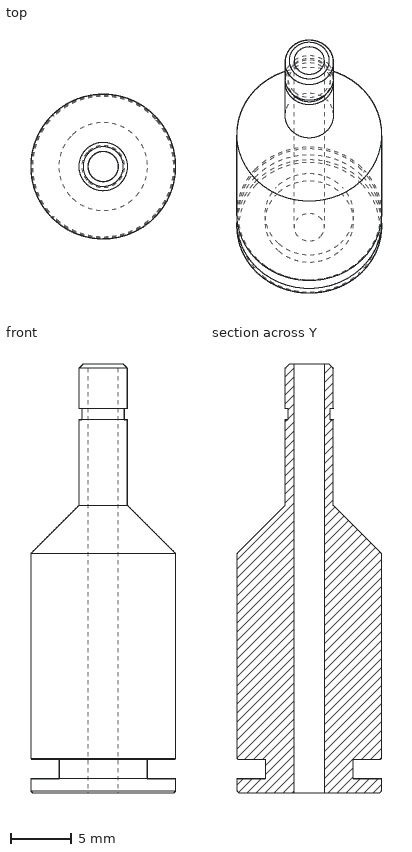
import cadquery as cq

total_height = 35.5
body_diameter = 12.0

collar_thickness = 1.2
collar_chamfer = 0.18
neck_diameter = 7.3
body_bottom = 2.77
body_chamfer = 0.1

cone_bottom = 19.8

stem_diameter = 4.0
groove_diameter = 3.5
groove_bottom = 30.9
groove_top = 31.8
tip_chamfer = 0.35

bore_diameter = 2.5

body_radius = body_diameter / 2
neck_radius = neck_diameter / 2
stem_radius = stem_diameter / 2
groove_radius = groove_diameter / 2
cone_top = cone_bottom + body_radius - stem_radius

half_section = [
    (0, 0),
    (body_radius - collar_chamfer, 0),
    (body_radius, collar_chamfer),
    (body_radius, collar_thickness),
    (neck_radius, collar_thickness),
    (neck_radius, body_bottom),
    (body_radius - body_chamfer, body_bottom),
    (body_radius, body_bottom + body_chamfer),
    (body_radius, cone_bottom),
    (stem_radius, cone_top),
    (stem_radius, groove_bottom),
    (groove_radius, groove_bottom),
    (groove_radius, groove_top),
    (stem_radius, groove_top),
    (stem_radius, total_height - tip_chamfer),
    (stem_radius - tip_chamfer, total_height),
    (0, total_height),
]
turned_body = cq.Workplane("XZ").polyline(half_section).close().revolve(360, (0, 0, 0), (0, 1, 0))

bore = cq.Workplane("XY").circle(bore_diameter / 2).extrude(total_height)

result = turned_body.cut(bore)